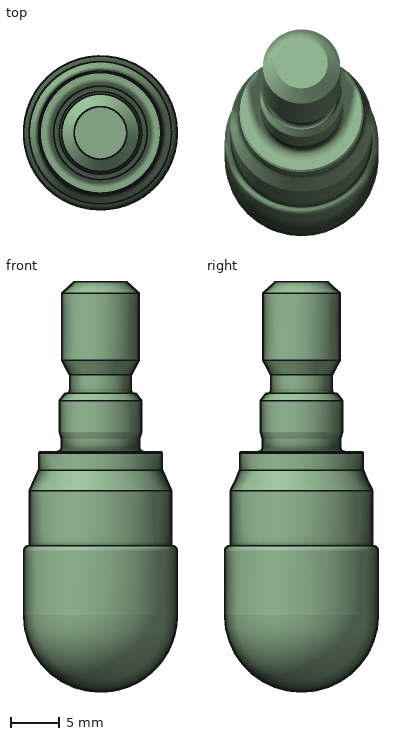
import cadquery as cq
import math

total_height = 42.35

collar_radius = 7.94
barrel_radius = 14.7 / 2
flange_radius = 12.8 / 2
flange_edge_chamfer = 0.15
collar_top = 15.1
shoulder_bottom = 20.8
shoulder_top = 22.9
flange_top = 24.8
collar_rounding = collar_radius - barrel_radius

seat_radius = 4.83
seat_bottom = shoulder_bottom
relief_radius = 8.1 / 2
land_radius = 8.5 / 2
neck_radius = 6.4 / 2
head_radius = 8.0 / 2
tip_radius = 2.7
root_fillet = 0.42
relief_top = 26.15
land_bottom = 26.85
land_top = 30.05
neck_bottom = 30.82
head_bottom = 34.25
head_top = 41.15
neck_fillet = 0.3
neck_step_width = 0.15
neck_cone_bottom = 32.95
neck_cone_radius = 3.3
neck_top = 32.73

diagonal = math.sqrt(0.5)


def revolve_about_z(profile):
    """Turn a closed radius-height profile into a solid of revolution."""
    return profile.close().revolve(360, (0, 0, 0), (0, 1, 0))


def make_housing():
    """Round-nosed housing with a stepped top and a blind seat for the stud."""
    rounding_start = collar_top - collar_rounding
    profile = (
        cq.Workplane("XZ")
        .moveTo(0, 0)
        .threePointArc(
            (collar_radius * diagonal, collar_radius * (1 - diagonal)),
            (collar_radius, collar_radius),
        )
        .lineTo(collar_radius, rounding_start)
        .threePointArc(
            (barrel_radius + collar_rounding * diagonal, rounding_start + collar_rounding * diagonal),
            (barrel_radius, collar_top),
        )
        .lineTo(barrel_radius, shoulder_bottom)
        .lineTo(flange_radius, shoulder_top)
        .lineTo(flange_radius, flange_top - flange_edge_chamfer)
        .lineTo(flange_radius - flange_edge_chamfer, flange_top)
        .lineTo(seat_radius, flange_top)
        .lineTo(seat_radius, seat_bottom)
        .lineTo(0, seat_bottom)
    )
    return revolve_about_z(profile)


def make_stud():
    """Turned stud with a seated foot, a land, a waisted neck and a chamfered head."""
    neck_fillet_end = neck_radius + neck_fillet
    profile = (
        cq.Workplane("XZ")
        .moveTo(0, seat_bottom)
        .lineTo(seat_radius, seat_bottom)
        .lineTo(seat_radius, flange_top)
        .lineTo(relief_radius + root_fillet, flange_top)
        .threePointArc(
            (relief_radius + root_fillet * (1 - diagonal), flange_top + root_fillet * (1 - diagonal)),
            (relief_radius, flange_top + root_fillet),
        )
        .lineTo(relief_radius, relief_top)
        .lineTo(land_radius, land_bottom)
        .lineTo(land_radius, land_top)
        .lineTo(neck_fillet_end + neck_step_width, neck_bottom)
        .lineTo(neck_fillet_end, neck_bottom)
        .threePointArc(
            (neck_radius + neck_fillet * (1 - diagonal), neck_bottom + neck_fillet * (1 - diagonal)),
            (neck_radius, neck_bottom + neck_fillet),
        )
        .lineTo(neck_radius, neck_top)
        .lineTo(neck_cone_radius, neck_cone_bottom)
        .lineTo(head_radius, head_bottom)
        .lineTo(head_radius, head_top)
        .lineTo(tip_radius, total_height)
        .lineTo(0, total_height)
    )
    return revolve_about_z(profile)


housing = make_housing()
stud = make_stud()

result = cq.Compound.makeCompound([housing.val(), stud.val()])